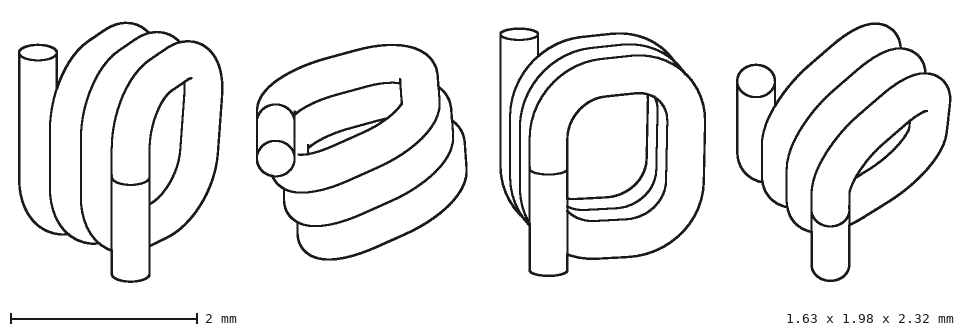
import cadquery as cq
import math

wire_diameter = 0.405
pitch = 0.408
turns = 3
bend_radius = 0.62

outer_depth = 1.98
outer_height = 2.32
lead_inset = 0.02

half_depth = (outer_depth - wire_diameter) / 2
half_height = (outer_height - wire_diameter) / 2
lead_end_height = outer_height / 2 - lead_inset
first_leg_x = -turns * pitch / 2
last_leg_x = first_leg_x + turns * pitch
joint_height = 0.0

sloped_run = 2 * (2 * half_depth) + 2 * half_height
bottom_advance = pitch * 2 * half_depth / sloped_run
back_advance = pitch * 2 * half_height / sloped_run


def turn_corners(leg_x):
    """Sharp centreline corners of one turn, starting below its front leg."""
    back_bottom_x = leg_x + bottom_advance
    back_top_x = back_bottom_x + back_advance
    return [
        cq.Vector(leg_x, -half_depth, -half_height),
        cq.Vector(back_bottom_x, half_depth, -half_height),
        cq.Vector(back_top_x, half_depth, half_height),
        cq.Vector(leg_x + pitch, -half_depth, half_height),
    ]


def bend_points(before, corner, after):
    """Start, middle and end of the arc that rounds one corner."""
    back = (before - corner).normalized()
    ahead = (after - corner).normalized()
    half_angle = back.getAngle(ahead) / 2
    tangent_length = bend_radius / math.tan(half_angle)
    middle_distance = bend_radius / math.sin(half_angle) - bend_radius
    bisector = (back + ahead).normalized()
    return (
        corner + back * tangent_length,
        corner + bisector * middle_distance,
        corner + ahead * tangent_length,
    )


def coil_centreline():
    """Straight sides joined by tangent bends, from the upper lead end to the joint."""
    points = [cq.Vector(first_leg_x, -half_depth, lead_end_height)]
    for turn in range(turns):
        points += turn_corners(first_leg_x + turn * pitch)
    points.append(cq.Vector(last_leg_x, -half_depth, joint_height))

    edges = []
    position = points[0]
    for before, corner, after in zip(points, points[1:], points[2:]):
        start, middle, end = bend_points(before, corner, after)
        edges.append(cq.Edge.makeLine(position, start))
        edges.append(cq.Edge.makeThreePointArc(start, middle, end))
        position = end
    edges.append(cq.Edge.makeLine(position, points[-1]))
    return cq.Wire.assembleEdges(edges)


def make_coil():
    """Wound wire, including the upper lead on the first front leg."""
    return (
        cq.Workplane("XY", origin=(first_leg_x, -half_depth, lead_end_height))
        .circle(wire_diameter / 2)
        .sweep(cq.Workplane("XY").newObject([coil_centreline()]))
    )


def make_lower_lead():
    """Straight lead that continues down from the end of the coil."""
    return (
        cq.Workplane("XY", origin=(last_leg_x, -half_depth, -lead_end_height))
        .circle(wire_diameter / 2)
        .extrude(joint_height + lead_end_height)
    )


coil = make_coil()
lower_lead = make_lower_lead()

result = cq.Compound.makeCompound([coil.val(), lower_lead.val()])